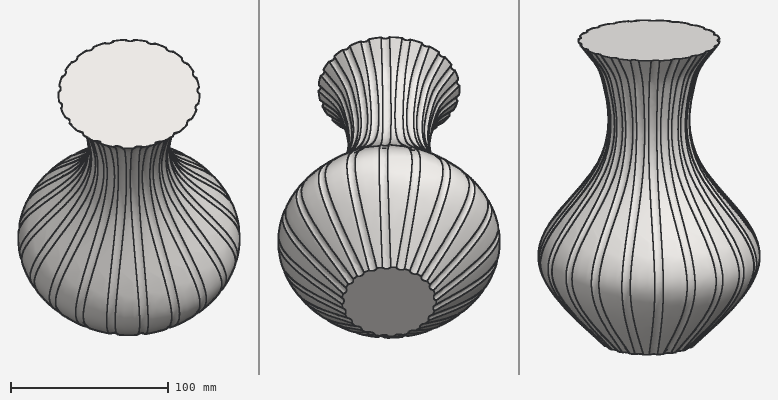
import cadquery as cq

HEIGHT = 200.0
FOOT_RADIUS = 30.0
FOOT_HEIGHT = 2.0
RIM_RADIUS = 45.0
BELLY_RADIUS = 70.5
NECK_RADIUS = 26.0

FOOT_SLOPE = 1.0
RIM_SLOPE = 0.8

FLUTE_COUNT = 21
FLUTE_WIDTH = 5.5
FLUTE_DEPTH = 1.0
FLUTE_OVERRUN = 6.0

FOOT_TOP = (FOOT_RADIUS + FOOT_SLOPE * FOOT_HEIGHT, FOOT_HEIGHT)
RIM = (RIM_RADIUS, HEIGHT)

WALL_POINTS = [
    FOOT_TOP,
    (56.8, 28.0),
    (BELLY_RADIUS, 56.0),
    (54.8, 88.0),
    (31.8, 120.0),
    (NECK_RADIUS, 150.0),
    (30.5, 176.0),
    RIM,
]
WALL_TANGENTS = [(FOOT_SLOPE, 1.0), (RIM_SLOPE, 1.0)]


def draw_wall(foot_edge):
    """Profile line from a foot point up the cone and along the wall to the rim."""
    return (
        cq.Workplane("XZ")
        .moveTo(*foot_edge)
        .lineTo(*FOOT_TOP)
        .spline(WALL_POINTS[1:], tangents=WALL_TANGENTS, includeCurrent=True)
    )


def make_body():
    """Solid of revolution with a conical foot and a flowing wall."""
    half_section = draw_wall((FOOT_RADIUS, 0)).lineTo(0, HEIGHT).lineTo(0, 0).close()
    return half_section.revolve(360, (0, 0, 0), (0, 1, 0))


def make_flute_cutter():
    """Round bar that runs along the wall at +X and overruns both ends."""
    start = (FOOT_RADIUS - FOOT_SLOPE * FLUTE_OVERRUN, -FLUTE_OVERRUN)
    end = (RIM_RADIUS + RIM_SLOPE * FLUTE_OVERRUN, HEIGHT + FLUTE_OVERRUN)
    path = draw_wall(start).lineTo(*end)

    radius = (FLUTE_WIDTH**2 / 4 + FLUTE_DEPTH**2) / (2 * FLUTE_DEPTH)
    standoff = radius - FLUTE_DEPTH
    outward = cq.Vector(1, 0, -FOOT_SLOPE).normalized()
    section_plane = cq.Plane(
        origin=(start[0], 0, start[1]),
        xDir=outward,
        normal=(FOOT_SLOPE, 0, 1),
    )
    return cq.Workplane(section_plane).center(standoff, 0).circle(radius).sweep(path)


def cut_flutes(body):
    """Cut equally spaced flutes, the first one at +X."""
    cutter = make_flute_cutter().val()
    axis_start = cq.Vector(0, 0, 0)
    axis_end = cq.Vector(0, 0, 1)
    pitch_angle = 360 / FLUTE_COUNT
    cutters = [
        cutter.rotate(axis_start, axis_end, index * pitch_angle)
        for index in range(FLUTE_COUNT)
    ]
    return body.cut(cq.Workplane(cq.Compound.makeCompound(cutters)))


result = cut_flutes(make_body())